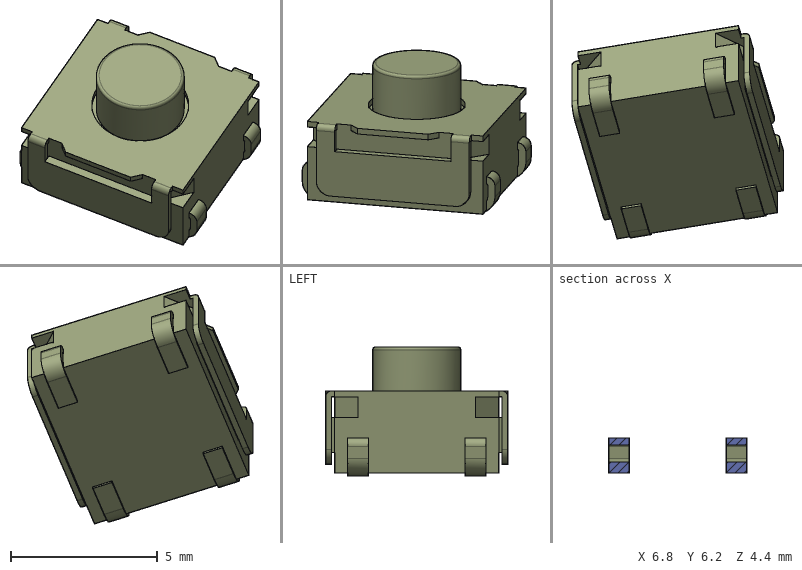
import cadquery as cq
import math


housing_length = 6.2
housing_width = 5.6
housing_bottom = 0.1
shoulder_height = 2.0
corner_cut = 0.8

cover_thickness = 0.2
cover_top = 2.9
cover_bottom = cover_top - cover_thickness
cover_width = 6.2
cover_hole_diameter = 3.3
tab_tip_length = 2.5
tab_root_length = 3.1

strap_length = 5.4
strap_bottom = 0.4
strap_corner_radius = 0.5
window_length = 4.1
window_bottom = 0.8

plunger_diameter = 3.0
plunger_top = 4.4
plunger_edge_radius = 0.1

lead_span = 6.8
lead_thickness = 0.25
lead_width = 0.7
lead_pitch = 4.0
lead_top = 1.3
lead_upper_radius = 0.3
lead_lower_radius = 0.6
lead_foot_gap = 3.4


def block(length, width, z_low, z_high):
    """Box centred on the Z axis between two heights."""
    box = cq.Workplane("XY").workplane(offset=z_low)
    return box.rect(length, width).extrude(z_high - z_low)


def make_housing():
    lower = block(housing_length, housing_width, housing_bottom, shoulder_height)
    upper = block(housing_length, housing_width, shoulder_height, cover_bottom)
    upper = upper.edges("|Z").chamfer(corner_cut)
    bosses = block(window_length, cover_width, window_bottom, shoulder_height)
    return lower.union(upper).union(bosses)


def make_cover_plate():
    plate = block(housing_length, housing_width, cover_bottom, cover_top)
    tabs = (
        cq.Workplane("XY")
        .workplane(offset=cover_bottom)
        .polyline([
            (-tab_tip_length / 2, -cover_width / 2),
            (tab_tip_length / 2, -cover_width / 2),
            (tab_root_length / 2, -housing_width / 2),
            (tab_root_length / 2, housing_width / 2),
            (tab_tip_length / 2, cover_width / 2),
            (-tab_tip_length / 2, cover_width / 2),
            (-tab_root_length / 2, housing_width / 2),
            (-tab_root_length / 2, -housing_width / 2),
        ])
        .close()
        .extrude(cover_thickness)
    )
    hole = (
        cq.Workplane("XY")
        .workplane(offset=cover_bottom)
        .circle(cover_hole_diameter / 2)
        .extrude(cover_thickness)
    )
    return plate.union(tabs).cut(hole)


def make_straps():
    channel = block(strap_length, cover_width, strap_bottom, cover_top)
    channel = channel.edges("|X and >Z").fillet(cover_thickness)
    channel = channel.edges("|Y and <Z").fillet(strap_corner_radius)
    inner_width = cover_width - 2 * cover_thickness
    channel = channel.cut(block(strap_length, inner_width, strap_bottom, cover_bottom))
    channel = channel.cut(block(window_length, cover_width, window_bottom, cover_top))
    plate_opening = block(window_length, housing_width, cover_bottom, cover_top)
    return channel.cut(plate_opening)


def make_plunger():
    plunger = (
        cq.Workplane("XY")
        .workplane(offset=cover_bottom)
        .circle(plunger_diameter / 2)
        .extrude(plunger_top - cover_bottom)
    )
    return plunger.faces(">Z").edges().fillet(plunger_edge_radius)


def make_lead(y_center):
    """Lead on the +X side: out of the housing, down, and back under it."""
    outer_x = lead_span / 2
    inner_x = outer_x - lead_thickness
    upper_x = outer_x - lead_upper_radius
    upper_z = lead_top - lead_upper_radius
    lower_x = outer_x - lead_lower_radius
    lower_z = lead_lower_radius
    upper_inner_radius = lead_upper_radius - lead_thickness
    lower_inner_radius = lead_lower_radius - lead_thickness
    root_x = upper_x - lead_thickness
    foot_x = lead_foot_gap / 2
    diagonal = math.sqrt(0.5)

    def arc_middle(x, z, radius, direction):
        return (x + radius * diagonal, z + direction * radius * diagonal)

    return (
        cq.Workplane("XZ", origin=(0, y_center, 0))
        .moveTo(root_x, lead_top)
        .lineTo(upper_x, lead_top)
        .threePointArc(arc_middle(upper_x, upper_z, lead_upper_radius, 1), (outer_x, upper_z))
        .lineTo(outer_x, lower_z)
        .threePointArc(arc_middle(lower_x, lower_z, lead_lower_radius, -1), (lower_x, 0))
        .lineTo(foot_x, 0)
        .lineTo(foot_x, lead_thickness)
        .lineTo(lower_x, lead_thickness)
        .threePointArc(arc_middle(lower_x, lower_z, lower_inner_radius, -1), (inner_x, lower_z))
        .lineTo(inner_x, upper_z)
        .threePointArc(
            arc_middle(upper_x, upper_z, upper_inner_radius, 1),
            (upper_x, lead_top - lead_thickness),
        )
        .lineTo(root_x, lead_top - lead_thickness)
        .close()
        .extrude(lead_width / 2, both=True)
    )


result = make_housing().union(make_straps()).union(make_cover_plate()).union(make_plunger())
for y_center in (-lead_pitch / 2, lead_pitch / 2):
    lead = make_lead(y_center)
    result = result.union(lead).union(lead.mirror("YZ"))